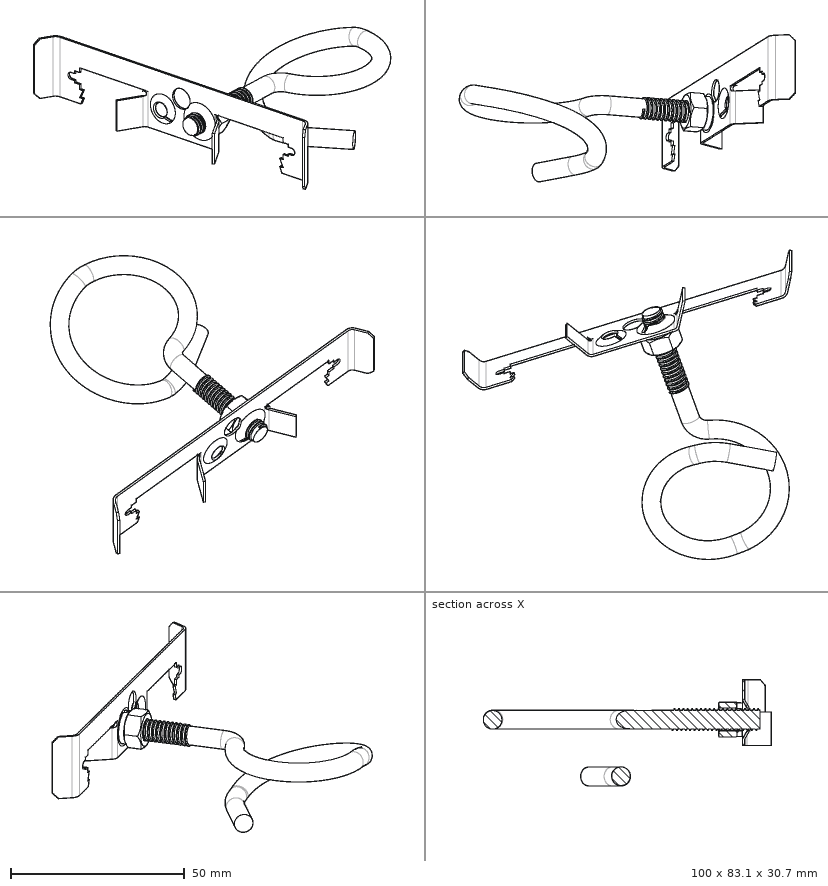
import cadquery as cq
import math


PLATE_LENGTH = 100.0
PLATE_TOP = 11.5
PLATE_BOTTOM = -7.5
SHEET = 0.7
BEND_ANGLE = 60.0
FLANGE_FLAT = 44.8
FLANGE_BEND_RADIUS = 2.0
FLANGE_CHAMFER = 1.7
TAB_FLAT = 12.3
TAB_BEND_RADIUS = 1.4
TAB_SPAN = 36.3
TAB_TOP = 2.2
WINDOW_TOP = 3.9
RELIEF_END = 12.8
CENTRE_HOLE_DIAMETER = 6.4
CENTRE_HOLE_Z = 5.2

STEP_WIDE = 37.5
STEP_NARROW = 39.4
STEP_1_Z = 2.4
STEP_2_Z = -1.4
NOTCH_TIP = 41.8
NOTCH_TOP = 1.5
NOTCH_BOTTOM = -0.7
TOOTH_TIP = 36.3
UPPER_TOOTH_Z = -3.0
LOWER_TOOTH_Z = -5.6
TOOTH_FOOT = 37.1

DIMPLE_OFFSET = 6.8
DIMPLE_ANGLE = 30.0
SMALL_DIMPLE_RADIUS = 4.6
SMALL_LIP_RADIUS = 2.5
SMALL_SLOT_REACH = 4.2
SMALL_SLOT_WIDTH = 0.8
SMALL_SLOT_ANGLE = -45.0
LARGE_DIMPLE_RADIUS = 5.8
LARGE_LIP_RADIUS = 3.2
LARGE_SLOT_REACH = 5.2
LARGE_SLOT_WIDTH = 1.3
LARGE_SLOT_ANGLE = -135.0

ROD_DIAMETER = 5.5
ROD_RADIUS = ROD_DIAMETER / 2
ROD_TIP_Y = -5.1
SHANK_END_Y = 30.5
NECK_BEND_RADIUS = 5.0
RING_RADIUS = 18.5
RING_DROP = 16.4
BLEND_START = 9.0
BLEND_END = 2.5
FALL_STEPS = 12
FOOT_BLEND = 2.0
TAIL_ANGLE = 30.0
TAIL_LENGTH = 13.6

THREAD_DIAMETER = 6.3
THREAD_RADIUS = THREAD_DIAMETER / 2
THREAD_LENGTH = 25.0
THREAD_TURNS = 19.7
THREAD_PITCH = THREAD_LENGTH / THREAD_TURNS
THREAD_END_Y = 20.4
THREAD_ROOT_WIDTH = 0.9
THREAD_CREST_WIDTH = 0.2
THREAD_SINK = 0.2

BORE_CLEARANCE = 0.05
BORE_RADIUS = THREAD_RADIUS + BORE_CLEARANCE
WASHER_DIAMETER = 9.8
WASHER_THICKNESS = 1.6
WASHER_GAP = 1.2
WASHER_GAP_TILT = 20.0
NUT_ACROSS_FLATS = 10.1
NUT_HEIGHT = 5.2
NUT_FACE_DIAMETER = 9.6
NUT_CHAMFER_ANGLE = 30.0

BOLT_X = DIMPLE_OFFSET
CUT = 30.0


def along_y(radius, y_start, y_end, x=BOLT_X, z=0.0):
    """Solid cylinder with its axis along Y."""
    start = cq.Vector(x, y_start, z)
    return cq.Workplane(cq.Solid.makeCylinder(radius, y_end - y_start, start, cq.Vector(0, 1, 0)))


def both_sides(shape):
    """The shape together with its mirror image about X = 0."""
    return shape.union(shape.mirror("YZ"))




def bent_strip(half_flat, bend_radius, tip_x, z_bottom, z_top):
    """Sheet strip from X = 0 out to tip_x, with its end bent toward -Y."""
    sine = math.sin(math.radians(BEND_ANGLE))
    cosine = math.cos(math.radians(BEND_ANGLE))
    outer_radius = bend_radius + SHEET
    leg = (tip_x - half_flat - outer_radius * sine) / cosine
    centre_y = -outer_radius

    def on_bend(radius, angle):
        turn = math.radians(angle)
        return (half_flat + radius * math.sin(turn), centre_y + radius * math.cos(turn))

    outer_end = on_bend(outer_radius, BEND_ANGLE)
    inner_end = on_bend(bend_radius, BEND_ANGLE)
    profile = (
        cq.Workplane("XY", origin=(0, 0, z_bottom))
        .moveTo(0, 0)
        .lineTo(half_flat, 0)
        .threePointArc(on_bend(outer_radius, BEND_ANGLE / 2), outer_end)
        .lineTo(outer_end[0] + leg * cosine, outer_end[1] - leg * sine)
        .lineTo(inner_end[0] + leg * cosine, inner_end[1] - leg * sine)
        .lineTo(*inner_end)
        .threePointArc(on_bend(bend_radius, BEND_ANGLE / 2), (half_flat, -SHEET))
        .lineTo(0, -SHEET)
        .close()
    )
    return profile.extrude(z_top - z_bottom)


def chamfered_flange_strip():
    """Half of the long strip, with the free corners of its end flange cut off."""
    strip = bent_strip(FLANGE_FLAT, FLANGE_BEND_RADIUS, PLATE_LENGTH / 2, PLATE_BOTTOM, PLATE_TOP)
    free_corners = strip.faces("<Y").edges("<Z or >Z")
    return free_corners.chamfer(FLANGE_CHAMFER)


def jaw_window():
    """Opening between the centre panel and the toothed jaw on the +X side."""
    notch_radius = (NOTCH_TOP - NOTCH_BOTTOM) / 2
    notch_round_x = NOTCH_TIP - notch_radius
    return (
        cq.Workplane("XZ", origin=(0, CUT, 0))
        .moveTo(TAB_FLAT, WINDOW_TOP)
        .lineTo(STEP_WIDE, WINDOW_TOP)
        .lineTo(STEP_WIDE, STEP_1_Z)
        .lineTo(STEP_NARROW, STEP_1_Z)
        .lineTo(STEP_NARROW, NOTCH_TOP)
        .lineTo(notch_round_x, NOTCH_TOP)
        .threePointArc((NOTCH_TIP, NOTCH_TOP - notch_radius), (notch_round_x, NOTCH_BOTTOM))
        .lineTo(STEP_NARROW, NOTCH_BOTTOM)
        .lineTo(STEP_NARROW, STEP_2_Z)
        .lineTo(STEP_WIDE, STEP_2_Z)
        .lineTo(STEP_WIDE, UPPER_TOOTH_Z)
        .lineTo(TOOTH_TIP, UPPER_TOOTH_Z)
        .lineTo(STEP_WIDE, LOWER_TOOTH_Z)
        .lineTo(TOOTH_TIP, LOWER_TOOTH_Z)
        .lineTo(TOOTH_FOOT, PLATE_BOTTOM)
        .lineTo(TAB_FLAT, PLATE_BOTTOM)
        .close()
        .extrude(2 * CUT)
    )


def relief_slot():
    """Round-ended slot that separates the +X tab from the strip above it."""
    height = WINDOW_TOP - TAB_TOP
    centre_z = TAB_TOP + height / 2
    slot_length = TAB_SPAN / 2
    return (
        cq.Workplane("XZ", origin=(RELIEF_END + slot_length / 2, CUT, centre_z))
        .slot2D(slot_length, height)
        .extrude(2 * CUT)
    )


def add_dimple(plate, x, base_radius, lip_radius, slot_reach, slot_width, slot_angle):
    """Press a slotted cone out of the sheet toward -Y, leaving a hole at its lip."""
    slope = math.radians(DIMPLE_ANGLE)
    back_radius = base_radius - SHEET * math.tan(slope / 2)
    lip_y = -SHEET - (base_radius - lip_radius) * math.tan(slope)
    inner_lip = (lip_radius - SHEET * math.sin(slope), lip_y + SHEET * math.cos(slope))

    def revolved(points):
        return cq.Workplane("XY").polyline(points).close().revolve(360, (0, 0), (0, 1)).translate((x, 0, 0))

    opening = revolved([(0, 0), (back_radius, 0), (base_radius, -SHEET), (0, -SHEET)])
    cone = revolved([(back_radius, 0), (base_radius, -SHEET), (lip_radius, lip_y), inner_lip])
    slot = (
        cq.Workplane("XY")
        .box(slot_reach, CUT, slot_width)
        .translate((slot_reach / 2, 0, 0))
        .rotate((0, 0, 0), (0, 1, 0), -slot_angle)
        .translate((x, 0, 0))
    )
    return plate.cut(opening).union(cone).cut(slot)


def make_plate():
    strip = both_sides(chamfered_flange_strip().cut(jaw_window()))
    half_panel = bent_strip(TAB_FLAT, TAB_BEND_RADIUS, TAB_SPAN / 2, PLATE_BOTTOM, WINDOW_TOP)
    panel = both_sides(half_panel.cut(relief_slot()))
    plate = strip.union(panel)
    plate = add_dimple(
        plate,
        -DIMPLE_OFFSET,
        SMALL_DIMPLE_RADIUS,
        SMALL_LIP_RADIUS,
        SMALL_SLOT_REACH,
        SMALL_SLOT_WIDTH,
        SMALL_SLOT_ANGLE,
    )
    plate = add_dimple(
        plate,
        DIMPLE_OFFSET,
        LARGE_DIMPLE_RADIUS,
        LARGE_LIP_RADIUS,
        LARGE_SLOT_REACH,
        LARGE_SLOT_WIDTH,
        LARGE_SLOT_ANGLE,
    )
    plate = plate.cut(along_y(CENTRE_HOLE_DIAMETER / 2, -CUT, CUT, x=0, z=CENTRE_HOLE_Z))
    return plate.cut(along_y(BORE_RADIUS, -CUT, CUT))



NECK_CENTRE_X = BOLT_X + NECK_BEND_RADIUS
RING_CENTRE_Y = SHANK_END_Y + math.sqrt((RING_RADIUS + NECK_BEND_RADIUS) ** 2 - NECK_BEND_RADIUS**2)
NECK_TURN = math.degrees(math.atan2(RING_CENTRE_Y - SHANK_END_Y, NECK_BEND_RADIUS))


def on_ring(angle, z=0.0):
    """Point of the ring centre line, with the angle counted from +X toward +Y."""
    turn = math.radians(angle)
    return cq.Vector(
        BOLT_X + RING_RADIUS * math.cos(turn), RING_CENTRE_Y + RING_RADIUS * math.sin(turn), z
    )


def on_neck(turn):
    """Point of the neck arc after the given turn from the shank direction."""
    angle = math.radians(180 - turn)
    return cq.Vector(
        NECK_CENTRE_X + NECK_BEND_RADIUS * math.cos(angle),
        SHANK_END_Y + NECK_BEND_RADIUS * math.sin(angle),
        0,
    )


def descent(angle):
    """Height of the falling half of the ring, 0 at 90 degrees."""
    return -RING_DROP * (angle - 90) / 180


def ring_tangent(angle, slope=0.0):
    """Direction along the ring at an angle, falling by the slope per unit of run."""
    turn = math.radians(angle)
    return cq.Vector(-math.sin(turn), math.cos(turn), -slope)


def ring_arc(start, end, z):
    """Level stretch of the ring between two angles."""
    return cq.Edge.makeThreePointArc(on_ring(start, z), on_ring((start + end) / 2, z), on_ring(end, z))


def rod_path():
    """Centre line: shank, neck, level half of the ring, falling half, level end and tail."""
    fall_slope = RING_DROP / (math.pi * RING_RADIUS)
    level_end = 90 - BLEND_START
    fall_start = 90 + BLEND_END
    fall_end = 270 - FOOT_BLEND
    foot_start = 270 + FOOT_BLEND
    tail_start = 270 + TAIL_ANGLE
    step = (fall_end - fall_start) / FALL_STEPS
    falling_angles = [fall_start + step * i for i in range(FALL_STEPS + 1)]
    falling_points = [on_ring(angle, descent(angle)) for angle in falling_angles]
    foot_point = on_ring(foot_start, -RING_DROP)
    tail_point = on_ring(tail_start, -RING_DROP)

    shank = cq.Edge.makeLine(cq.Vector(BOLT_X, ROD_TIP_Y, 0), on_neck(0))
    neck = cq.Edge.makeThreePointArc(on_neck(0), on_neck(NECK_TURN / 2), on_neck(NECK_TURN))
    level_half = ring_arc(-NECK_TURN, level_end, 0)
    top_blend = cq.Edge.makeSpline(
        [on_ring(level_end), falling_points[0]],
        tangents=[ring_tangent(level_end), ring_tangent(fall_start, fall_slope)],
    )
    falling_half = cq.Edge.makeSpline(
        falling_points,
        tangents=[
            ring_tangent(fall_start, fall_slope) * RING_RADIUS,
            ring_tangent(fall_end, fall_slope) * RING_RADIUS,
        ],
        parameters=[math.radians(angle) for angle in falling_angles],
        scale=False,
    )
    foot_blend = cq.Edge.makeSpline(
        [falling_points[-1], foot_point],
        tangents=[ring_tangent(fall_end, fall_slope), ring_tangent(foot_start)],
    )
    level_foot = ring_arc(foot_start, tail_start, -RING_DROP)
    tail = cq.Edge.makeLine(tail_point, tail_point + ring_tangent(tail_start) * TAIL_LENGTH)
    return cq.Wire.assembleEdges(
        [shank, neck, level_half, top_blend, falling_half, foot_blend, level_foot, tail]
    )


def thread_ridge():
    """Helical ridge standing on the rod."""
    start_y = THREAD_END_Y - THREAD_LENGTH
    root = ROD_RADIUS - THREAD_SINK
    helix = cq.Wire.makeHelix(
        THREAD_PITCH,
        THREAD_LENGTH,
        root,
        cq.Vector(BOLT_X, start_y, 0),
        cq.Vector(0, 1, 0),
    )
    start = helix.startPoint()
    outward = cq.Vector(start.x - BOLT_X, 0, start.z).normalized()
    plane = cq.Plane(origin=start, xDir=outward, normal=outward.cross(cq.Vector(0, 1, 0)))
    height = THREAD_RADIUS - root
    section = (
        cq.Workplane(plane)
        .moveTo(0, -THREAD_ROOT_WIDTH / 2)
        .lineTo(height, -THREAD_CREST_WIDTH / 2)
        .lineTo(height, THREAD_CREST_WIDTH / 2)
        .lineTo(0, THREAD_ROOT_WIDTH / 2)
        .close()
    )
    return section.sweep(cq.Workplane(helix), isFrenet=True)


def make_hook():
    section = cq.Workplane("XZ", origin=(BOLT_X, ROD_TIP_Y, 0)).circle(ROD_RADIUS)
    rod = section.sweep(cq.Workplane(rod_path()))
    return rod.union(thread_ridge())




def make_washer():
    """Split ring between the plate and the nut, its gap on the +Z side."""
    ring = along_y(WASHER_DIAMETER / 2, 0, WASHER_THICKNESS).cut(along_y(BORE_RADIUS, -CUT, CUT))
    gap = (
        cq.Workplane("XY")
        .box(WASHER_GAP, CUT, CUT, centered=(True, True, False))
        .rotate((0, 0, 0), (0, 0, 1), WASHER_GAP_TILT)
        .translate((BOLT_X, WASHER_THICKNESS / 2, 0))
    )
    return ring.cut(gap)


def make_nut():
    """Hexagon nut with both ends turned to a cone and corners on the X axis."""
    corner_radius = NUT_ACROSS_FLATS / 2 / math.cos(math.radians(30))
    nut_start = WASHER_THICKNESS
    face_radius = NUT_FACE_DIAMETER / 2
    chamfer_height = (corner_radius - face_radius) * math.tan(math.radians(NUT_CHAMFER_ANGLE))
    hexagon = (
        cq.Workplane("XZ", origin=(BOLT_X, nut_start, 0))
        .polygon(6, 2 * corner_radius)
        .extrude(-NUT_HEIGHT)
    )
    turned = (
        cq.Workplane("XY")
        .polyline(
            [
                (0, 0),
                (face_radius, 0),
                (corner_radius, chamfer_height),
                (corner_radius, NUT_HEIGHT - chamfer_height),
                (face_radius, NUT_HEIGHT),
                (0, NUT_HEIGHT),
            ]
        )
        .close()
        .revolve(360, (0, 0), (0, 1))
        .translate((BOLT_X, nut_start, 0))
    )
    return hexagon.intersect(turned).cut(along_y(BORE_RADIUS, -CUT, CUT))


plate = make_plate().solids()
hook = make_hook().solids()
washer = make_washer().solids()
nut = make_nut().solids()

result = cq.Compound.makeCompound([plate.val(), hook.val(), washer.val(), nut.val()])